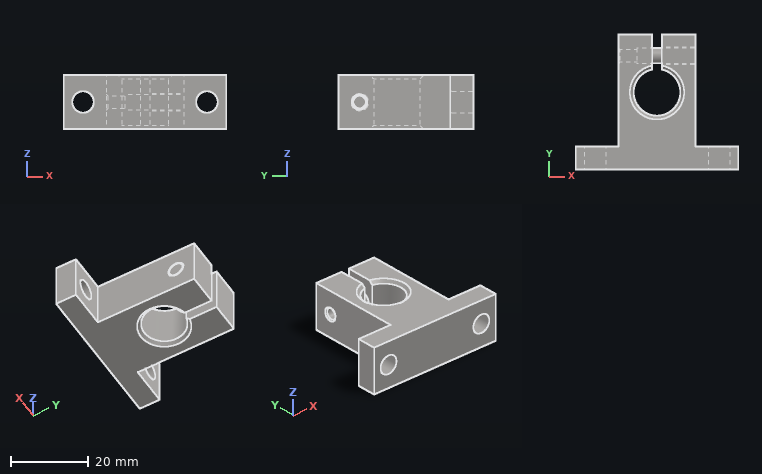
import cadquery as cq

base_length = 42.0
total_height = 35.0
thickness = 14.0
base_height = 6.0
clamp_width = 20.0
mid_z = thickness / 2

bore_diameter = 12.0
bore_y = 20.0
bore_chamfer = 1.0
slot_width = 2.5

mount_hole_diameter = 5.5
mount_hole_spacing = 32.0

screw_diameter = 4.0
screw_to_top = 5.5
screw_y = total_height - screw_to_top
screw_engagement = screw_diameter
screw_start_x = -slot_width / 2 - screw_engagement
screw_end_x = clamp_width / 2

clearance_diameter = 4.5

tip_hole_diameter = 3.25
tip_hole_chamfer = (screw_diameter - tip_hole_diameter) / 2


def x_cylinder(diameter, start_x, end_x):
    """Cylinder on the screw axis between two X positions."""
    return (
        cq.Workplane("YZ", origin=(start_x, screw_y, mid_z))
        .circle(diameter / 2)
        .extrude(end_x - start_x)
    )


def block_blank():
    """Inverted-T outline: a wide base with the clamp standing on it."""
    base = cq.Workplane("XY").box(base_length, base_height, thickness, centered=(True, False, False))
    clamp = cq.Workplane("XY").box(clamp_width, total_height, thickness, centered=(True, False, False))
    return base.union(clamp)


def shaft_bore():
    """Through bore with a chamfer at both mouths."""
    radius = bore_diameter / 2
    mouth_radius = radius + bore_chamfer
    return (
        cq.Workplane("XZ", origin=(0, bore_y, 0))
        .moveTo(0, 0)
        .lineTo(mouth_radius, 0)
        .lineTo(radius, bore_chamfer)
        .lineTo(radius, thickness - bore_chamfer)
        .lineTo(mouth_radius, thickness)
        .lineTo(0, thickness)
        .close()
        .revolve(360, (0, 0, 0), (0, 1, 0))
    )


def clamp_slot():
    """Slot from the bore axis out through the top of the clamp."""
    return (
        cq.Workplane("XY", origin=(0, bore_y, 0))
        .box(slot_width, total_height - bore_y, thickness, centered=(True, False, False))
    )


def mount_holes():
    """Two holes through the base along Y."""
    return (
        cq.Workplane("XZ", origin=(0, 0, mid_z))
        .rarray(mount_hole_spacing, 0.4, 2, 1)
        .circle(mount_hole_diameter / 2)
        .extrude(-base_height)
    )


def screw_hole():
    """Clearance in the +X jaw, a snug hole in the -X jaw, then a narrow chamfered exit."""
    face_x = -clamp_width / 2
    narrow = x_cylinder(tip_hole_diameter, face_x, screw_start_x)
    mouth = cq.Workplane(
        cq.Solid.makeCone(
            screw_diameter / 2,
            tip_hole_diameter / 2,
            tip_hole_chamfer,
            cq.Vector(face_x, screw_y, mid_z),
            cq.Vector(1, 0, 0),
        )
    )
    snug = x_cylinder(screw_diameter, screw_start_x, 0)
    clearance = x_cylinder(clearance_diameter, 0, screw_end_x)
    return clearance.union(snug).union(narrow).union(mouth)


def make_block():
    block = block_blank()
    for cutter in (shaft_bore(), clamp_slot(), mount_holes(), screw_hole()):
        block = block.cut(cutter)
    return block


def make_screw():
    return x_cylinder(screw_diameter, screw_start_x, screw_end_x)


block = make_block()
screw = make_screw()

result = cq.Compound.makeCompound([block.solids().val(), screw.val()])